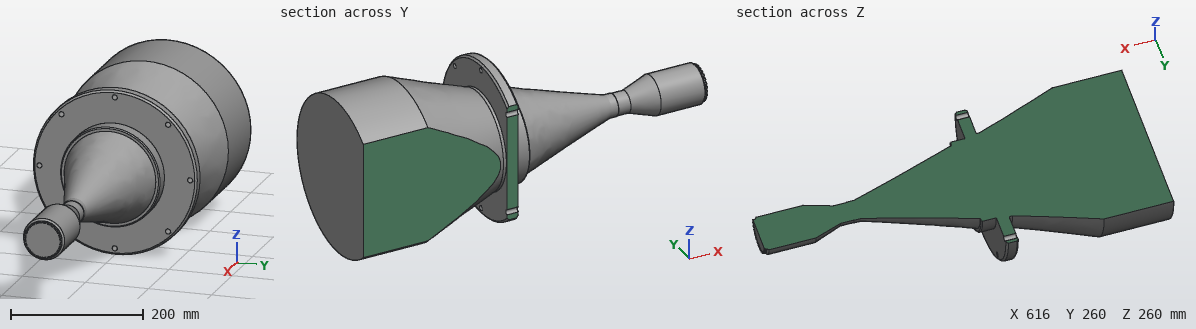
import cadquery as cq

drum_end = 110.0
front_collar_start = 240.0
flange_start = 245.0
flange_end = 265.0
rear_collar_end = 288.0
rear_cone_end = 430.0
neck_start = 459.0
neck_step = 470.5
neck_end = 491.5
head_start = 535.0
head_end = 610.0
spline_start = 612.0
total_length = 616.0

drum_radius = 130.0
flange_radius = 130.0
front_collar_radius = 82.5
rear_collar_radius = 79.0
rear_cone_radius = 72.5
rear_cone_tip_radius = 27.0
lip_radius = 18.5
neck_radius = 18.0
head_radius = 32.5
spline_radius = 29.5

bow = 0.5
flange_chamfer = 3.0
collar_chamfer = 2.0

bolt_count = 8
bolt_circle_radius = 119.5
bolt_hole_diameter = 8.0

groove_count = 28
groove_width = 4.0
groove_depth = 2.5


def bowed_taper(profile, x0, r0, x1, r1):
    """Add a slightly concave taper from (x0, r0) to (x1, r1)."""
    middle = ((x0 + x1) / 2, (r0 + r1) / 2 - bow)
    return profile.threePointArc(middle, (x1, r1))


def turned_body():
    """Revolve the whole stepped outline about the X axis."""
    profile = cq.Workplane("XY").lineTo(0, drum_radius).lineTo(drum_end, drum_radius)
    profile = bowed_taper(profile, drum_end, drum_radius, front_collar_start, front_collar_radius)
    profile = (
        profile.lineTo(flange_start, front_collar_radius)
        .lineTo(flange_start, flange_radius - flange_chamfer)
        .lineTo(flange_start + flange_chamfer, flange_radius)
        .lineTo(flange_end - flange_chamfer, flange_radius)
        .lineTo(flange_end, flange_radius - flange_chamfer)
        .lineTo(flange_end, rear_collar_radius)
        .lineTo(rear_collar_end - collar_chamfer, rear_collar_radius)
        .lineTo(rear_collar_end, rear_collar_radius - collar_chamfer)
        .lineTo(rear_collar_end, rear_cone_radius)
    )
    profile = bowed_taper(
        profile, rear_collar_end, rear_cone_radius, rear_cone_end, rear_cone_tip_radius
    )
    profile = (
        profile.lineTo(neck_start, lip_radius)
        .lineTo(neck_step, lip_radius)
        .lineTo(neck_step, neck_radius)
        .lineTo(neck_end, neck_radius)
        .lineTo(head_start, head_radius)
        .lineTo(head_end, head_radius)
        .lineTo(spline_start, spline_radius)
        .lineTo(total_length, spline_radius)
        .lineTo(total_length, 0)
        .close()
    )
    return profile.revolve(360, (0, 0, 0), (1, 0, 0))


def bolt_holes():
    """Through holes evenly spaced on the flange, one of them on the Y axis."""
    return (
        cq.Workplane("YZ", origin=(flange_start, 0, 0))
        .polarArray(bolt_circle_radius, 0, 360, bolt_count)
        .circle(bolt_hole_diameter / 2)
        .extrude(flange_end - flange_start)
    )


def spline_grooves():
    """Axial grooves around the tip, with a tooth centred on the Y axis."""
    half_pitch = 180 / groove_count
    return (
        cq.Workplane("YZ", origin=(spline_start, 0, 0))
        .polarArray(spline_radius, half_pitch, 360, groove_count)
        .rect(2 * groove_depth, groove_width)
        .extrude(total_length - spline_start)
    )


result = turned_body().cut(bolt_holes()).cut(spline_grooves())